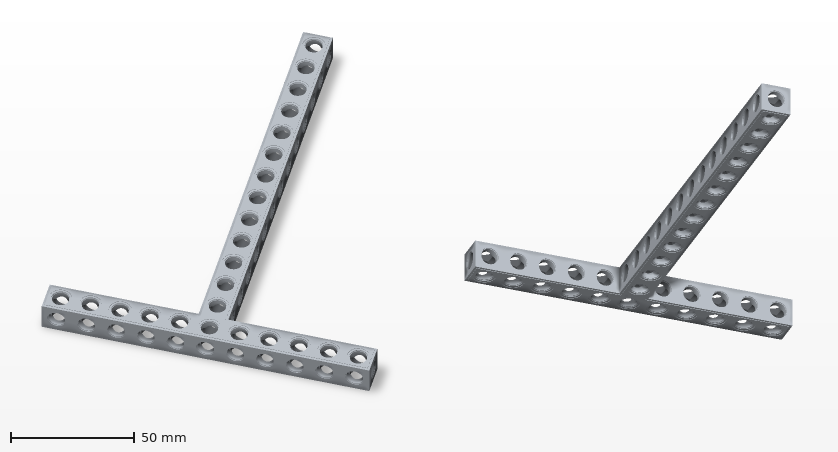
import cadquery as cq

total_length = 175.0
stem_hole_count = 14
bar_hole_count = 11
bore_diameter = 7.0
mouth_diameter = 7.5
mouth_depth = 0.4
relief_diameter = 9.3
rim_width = 1.0
relief_depth = 0.2

pitch = total_length / stem_hole_count
half_width = pitch / 2
bar_length = bar_hole_count * pitch

bar_positions = [(i - bar_hole_count // 2) * pitch for i in range(bar_hole_count)]
stem_positions = [i * pitch for i in range(stem_hole_count)]
vertical_centres = [(x, 0) for x in bar_positions] + [(0, y) for y in stem_positions[1:]]


def tee(base_z, height, inset=0.0):
    """T-shaped slab on `base_z` whose outline is pulled in by `inset`."""
    width = pitch - 2 * inset
    stem_length = total_length - half_width - inset
    plane = cq.Workplane("XY", origin=(0, 0, base_z))
    bar = plane.box(bar_length - 2 * inset, width, height, centered=(True, True, False))
    stem = plane.box(width, stem_length, height, centered=(True, False, False))
    return bar.union(stem)


def raised_panel(base_z):
    """Thin T-shaped panel, set in from the edges and open around each vertical bore."""
    ring_openings = (
        cq.Workplane("XY", origin=(0, 0, base_z))
        .pushPoints(vertical_centres)
        .circle(relief_diameter / 2)
        .extrude(relief_depth)
    )
    return tee(base_z, relief_depth, rim_width).cut(ring_openings)


def bore(start, axis, length, end_inset=0.0):
    """Through bore of `length` from `start`; its mouths begin `end_inset` in from the ends."""
    start = cq.Vector(*start)
    axis = cq.Vector(*axis)
    near_mouth = start + axis * end_inset
    far_mouth = start + axis * (length - end_inset - mouth_depth)
    shaft = cq.Solid.makeCylinder(bore_diameter / 2, length, start, axis)
    mouths = [
        cq.Solid.makeCylinder(mouth_diameter / 2, mouth_depth, origin, axis)
        for origin in (near_mouth, far_mouth)
    ]
    return cq.Workplane(obj=shaft.fuse(*mouths))


core_bottom = relief_depth - half_width
core_height = pitch - 2 * relief_depth
body = tee(core_bottom, core_height)
body = body.union(raised_panel(core_bottom + core_height))
body = body.union(raised_panel(-half_width))

for x, y in vertical_centres:
    body = body.cut(bore((x, y, -half_width), (0, 0, 1), pitch, relief_depth))

for x in bar_positions:
    length = total_length if x == 0 else pitch
    body = body.cut(bore((x, -half_width, 0), (0, 1, 0), length))

for y in stem_positions:
    length = bar_length if y == 0 else pitch
    body = body.cut(bore((-length / 2, y, 0), (1, 0, 0), length))

result = body